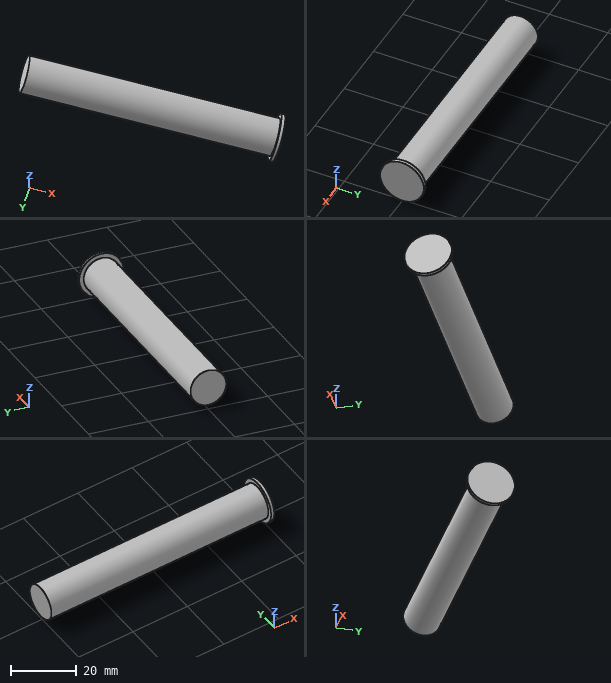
import cadquery as cq

total_length = 81.0
shaft_diameter = 12.0
head_diameter = 15.0
head_thickness = 1.2
shaft_length = total_length - head_thickness

shaft = (
    cq.Workplane("YZ", origin=(-total_length / 2, 0, 0))
    .circle(shaft_diameter / 2)
    .extrude(shaft_length)
)

result = (
    shaft.faces(">X")
    .workplane()
    .circle(head_diameter / 2)
    .extrude(head_thickness)
)